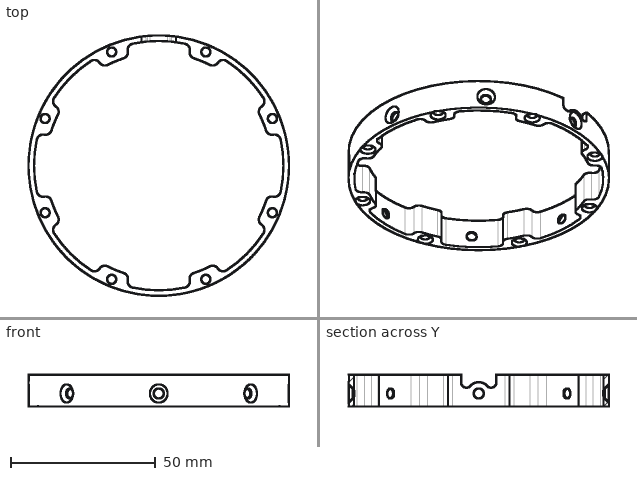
import cadquery as cq
import math

OUTER_RADIUS = 45.0
WALL = 2.0
HEIGHT = 11.0
INNER_RADIUS = OUTER_RADIUS - WALL

LUG_COUNT = 8
LUG_STEP = 360 / LUG_COUNT
LUG_START = LUG_STEP / 2
LUG_ANGLES = [LUG_START + i * LUG_STEP for i in range(LUG_COUNT)]
LUG_INNER_RADIUS = 39.0
LUG_FACE_HALF_ANGLE = 4.4
LUG_FLANK_RADIUS = 2.2

LUG_HOLE_CIRCLE_RADIUS = 42.5
LUG_HOLE_RADIUS = 1.5
LUG_SINK_RADIUS = 2.6

WALL_HOLE_ANGLES = [angle - LUG_STEP / 2 for angle in LUG_ANGLES]
WALL_HOLE_Z = 4.5
WALL_HOLE_RADIUS = 1.7
WALL_SINK_RADIUS = 3.15

NOTCH_HALF_WIDTH = 6.0
NOTCH_FLOOR_Z = 6.6
NOTCH_CORNER_FILLET = 1.6
HUMP_RADIUS = 4.0
HUMP_FOOT_FILLET = 1.1

CLEARANCE = 0.9
TOLERANCE = 0.01


def polar(radius, degrees):
    angle = math.radians(degrees)
    return (radius * math.cos(angle), radius * math.sin(angle))


def point_toward(start, end, distance):
    """Point on the line from start toward end, at the given distance from start."""
    fraction = distance / math.dist(start, end)
    return tuple(a + fraction * (b - a) for a, b in zip(start, end))


def arc_middle(center, start, end):
    """Middle of the shorter arc from start to end around center."""
    chord_middle = tuple((a + b) / 2 for a, b in zip(start, end))
    return point_toward(center, chord_middle, math.dist(center, start))


def turned(shape, degrees):
    """The shape rotated about the ring axis."""
    return shape.rotate((0, 0, 0), (0, 0, 1), degrees)


TIP_CENTER_RADIUS = LUG_INNER_RADIUS + LUG_FLANK_RADIUS
ROOT_CENTER_RADIUS = INNER_RADIUS - LUG_FLANK_RADIUS

COS_FLANK_ANGLE = (
    TIP_CENTER_RADIUS**2 + ROOT_CENTER_RADIUS**2 - (2 * LUG_FLANK_RADIUS) ** 2
) / (2 * TIP_CENTER_RADIUS * ROOT_CENTER_RADIUS)
LUG_ROOT_HALF_ANGLE = LUG_FACE_HALF_ANGLE + math.degrees(math.acos(COS_FLANK_ANGLE))


def flank_points(lug_angle, side):
    """Five points along one S-shaped flank, from the wall to the lug's inner face."""
    root_angle = lug_angle + side * LUG_ROOT_HALF_ANGLE
    tip_angle = lug_angle + side * LUG_FACE_HALF_ANGLE
    root_center = polar(ROOT_CENTER_RADIUS, root_angle)
    tip_center = polar(TIP_CENTER_RADIUS, tip_angle)
    root_end = polar(INNER_RADIUS, root_angle)
    tip_end = polar(LUG_INNER_RADIUS, tip_angle)
    inflection = point_toward(root_center, tip_center, LUG_FLANK_RADIUS)
    root_middle = arc_middle(root_center, root_end, inflection)
    tip_middle = arc_middle(tip_center, inflection, tip_end)
    return [root_end, root_middle, inflection, tip_middle, tip_end]


def make_ring():
    """Ring whose bore outline runs around the lugs."""
    bore = cq.Workplane("XY").moveTo(*polar(INNER_RADIUS, LUG_START - LUG_ROOT_HALF_ANGLE))
    for lug_angle in LUG_ANGLES:
        _, root_middle, inflection, tip_middle, tip_end = flank_points(lug_angle, -1)
        bore = bore.threePointArc(root_middle, inflection)
        bore = bore.threePointArc(tip_middle, tip_end)

        root_end, root_middle, inflection, tip_middle, tip_end = flank_points(lug_angle, 1)
        bore = bore.threePointArc(polar(LUG_INNER_RADIUS, lug_angle), tip_end)
        bore = bore.threePointArc(tip_middle, inflection)
        bore = bore.threePointArc(root_middle, root_end)

        wall_middle = polar(INNER_RADIUS, lug_angle + LUG_STEP / 2)
        next_root = polar(INNER_RADIUS, lug_angle + LUG_STEP - LUG_ROOT_HALF_ANGLE)
        bore = bore.threePointArc(wall_middle, next_root)
    ring = cq.Workplane("XY").circle(OUTER_RADIUS).extrude(HEIGHT)
    return ring.cut(bore.close().extrude(HEIGHT))


def make_screw_tool(hole_radius, sink_radius, length):
    """Screw hole along +X from the origin, with a 90 degree countersink opening toward -X."""
    sink_depth = sink_radius - hole_radius
    half_profile = [
        (-CLEARANCE, 0),
        (-CLEARANCE, sink_radius + CLEARANCE),
        (sink_depth, hole_radius),
        (length, hole_radius),
        (length, 0),
    ]
    return cq.Workplane("XY").polyline(half_profile).close().revolve(360, (0, 0, 0), (1, 0, 0))


def cut_lug_holes(body):
    tool = (
        make_screw_tool(LUG_HOLE_RADIUS, LUG_SINK_RADIUS, HEIGHT + CLEARANCE)
        .rotate((0, 0, 0), (0, 1, 0), -90)
        .translate((LUG_HOLE_CIRCLE_RADIUS, 0, 0))
    )
    for angle in LUG_ANGLES:
        body = body.cut(turned(tool, angle))
    return body


def cut_wall_holes(body):
    inward_tool = turned(make_screw_tool(WALL_HOLE_RADIUS, WALL_SINK_RADIUS, WALL + CLEARANCE), 180)
    tool = inward_tool.translate((OUTER_RADIUS, 0, WALL_HOLE_Z))
    for angle in WALL_HOLE_ANGLES:
        body = body.cut(turned(tool, angle))
    return body


def notch_floor_edges(tool):
    """Edges of the notch tool that run along Y at floor level."""
    return [e for e in tool.edges("|Y").vals() if abs(e.Center().z - NOTCH_FLOOR_Z) < TOLERANCE]


def cut_notch(body):
    """Cut the filleted notch through the wall at +Y, leaving the hump standing."""
    plane = cq.Workplane("XZ", origin=(0, OUTER_RADIUS + CLEARANCE, 0))
    depth = OUTER_RADIUS + CLEARANCE - LUG_INNER_RADIUS
    top_z = HEIGHT + CLEARANCE
    hump = plane.center(0, WALL_HOLE_Z).circle(HUMP_RADIUS).extrude(depth)
    tool = (
        plane.center(0, (NOTCH_FLOOR_Z + top_z) / 2)
        .rect(2 * NOTCH_HALF_WIDTH, top_z - NOTCH_FLOOR_Z)
        .extrude(depth)
        .cut(hump)
    )
    hump_feet = [e for e in notch_floor_edges(tool) if abs(e.Center().x) < HUMP_RADIUS]
    tool = tool.newObject(hump_feet).fillet(HUMP_FOOT_FILLET)
    corners = [e for e in notch_floor_edges(tool) if abs(e.Center().x) > NOTCH_HALF_WIDTH - TOLERANCE]
    tool = tool.newObject(corners).fillet(NOTCH_CORNER_FILLET)
    return body.cut(tool)


ring = make_ring()
ring = cut_lug_holes(ring)
ring = cut_wall_holes(ring)
result = cut_notch(ring)